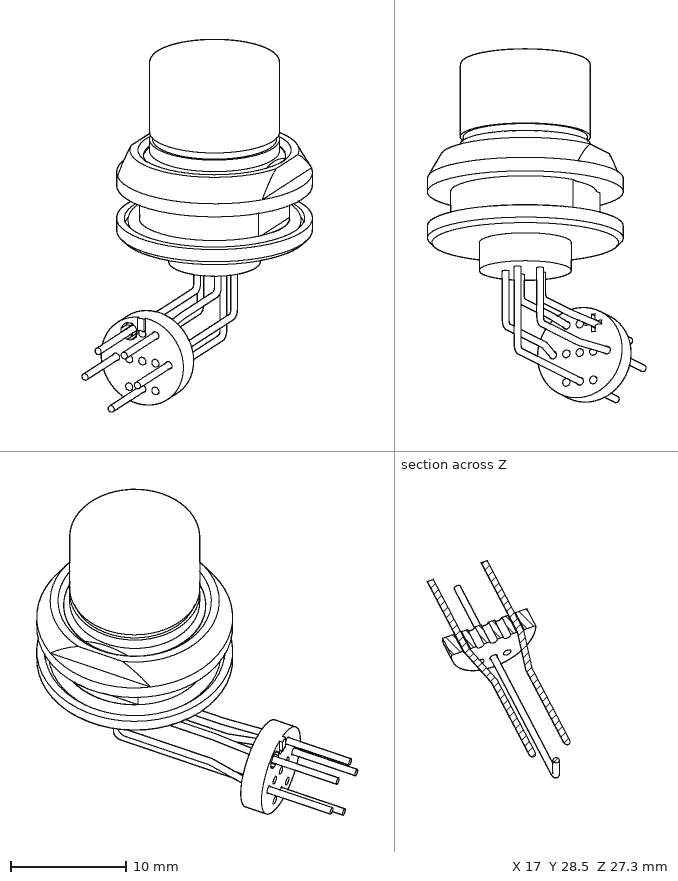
import cadquery as cq
import math


overall_length = 28.5
flange_radius = 8.5
flange_thickness = 1.5
flange_chamfer = 0.4
rear_radius = 4.0
rear_bottom = -4.0
thread_radius = 6.5
flat_offset = 5.75
neck_radius = 6.15
plug_radius = 5.65
plug_top = 14.5
plug_fillet = 0.3
snap_groove_radius = 5.4
snap_groove_bottom = 7.2
snap_groove_top = 7.87
lead_in_top = 6.15

ring_section_diameter = 1.0
ring_section_radius = ring_section_diameter / 2
ring_groove_depth = 0.7
ring_groove_outer_radius = 7.8
ring_center_radius = thread_radius + ring_section_radius

nut_bottom = 3.0
nut_collar_top = 4.2
nut_top = 6.2
nut_top_radius = 7.32
nut_flat_offset = 7.0
nut_countersink_radius = 6.65

pin_diameter = 0.6
pin_circle_radius = 1.7
pin_count = 5
pin_bend_radius = 0.5
pin_kink_y = -8.05
pin_tip_y = flange_radius - overall_length

disc_radius = 4.0
disc_thickness = 2.0
disc_back_y = -12.0
disc_front_y = disc_back_y - disc_thickness
disc_center_z = -8.84
pitch = 2.55
half_pitch = pitch / 2
hole_diameter = 0.68
key_width = 0.65
key_height = 0.28
key_gap = 0.25
recess_radius = 0.77
recess_depth = disc_thickness / 2
slot_width = 0.35

pin_holes = [
    (0, disc_center_z - pitch),
    (-pitch, disc_center_z),
    (-half_pitch, disc_center_z + pitch),
    (half_pitch, disc_center_z + pitch),
    (pitch, disc_center_z),
]
spare_holes = [
    (0, disc_center_z + pitch),
    (-half_pitch, disc_center_z),
    (0, disc_center_z),
    (half_pitch, disc_center_z),
    (-half_pitch, disc_center_z - pitch),
    (half_pitch, disc_center_z - pitch),
]
marked_hole = pin_holes[2]


def cylinder(radius, bottom, top):
    return cq.Workplane("XY").workplane(offset=bottom).circle(radius).extrude(top - bottom)


def between_flats(offset, bottom, top):
    """A block that reaches from -offset to +offset in X and past the part in Y."""
    block = cq.Workplane("XY").workplane(offset=bottom)
    return block.rect(2 * offset, 3 * flange_radius).extrude(top - bottom)


def disc_cylinder(x, z, radius, front_y, depth):
    """A cylinder along Y, from front_y towards +Y."""
    plane = cq.Plane(origin=(x, front_y, z), xDir=(1, 0, 0), normal=(0, 1, 0))
    return cq.Workplane(plane).circle(radius).extrude(depth)


def make_pin(angle, hole):
    """A pin that leaves the shell downwards, turns to -Y and spreads to its disc hole."""
    x = pin_circle_radius * math.cos(angle)
    y = pin_circle_radius * math.sin(angle)
    hole_x, z = hole
    bend_y = y - pin_bend_radius
    bend_z = z + pin_bend_radius
    arc_offset = pin_bend_radius * math.sqrt(0.5)

    bend_start = cq.Vector(x, y, bend_z)
    bend_middle = cq.Vector(x, bend_y + arc_offset, bend_z - arc_offset)
    bend_end = cq.Vector(x, bend_y, z)
    kink = cq.Vector(x, pin_kink_y, z)
    disc_entry = cq.Vector(hole_x, disc_back_y, z)
    tip = cq.Vector(hole_x, pin_tip_y, z)
    path = cq.Wire.assembleEdges([
        cq.Edge.makeLine(cq.Vector(x, y, rear_bottom), bend_start),
        cq.Edge.makeThreePointArc(bend_start, bend_middle, bend_end),
        cq.Edge.makeLine(bend_end, kink),
        cq.Edge.makeLine(kink, disc_entry),
        cq.Edge.makeLine(disc_entry, tip),
    ])
    section = cq.Workplane("XY", origin=(x, y, rear_bottom)).circle(pin_diameter / 2)
    return section.sweep(path, transition="right")


def make_shell():
    flange = cylinder(flange_radius, -flange_thickness, 0).faces("<Z").chamfer(flange_chamfer)
    ring_groove = cylinder(ring_groove_outer_radius, -ring_groove_depth, 0).cut(
        cylinder(thread_radius, -ring_groove_depth, 0)
    )
    threaded_profile = [
        (0, 0),
        (thread_radius, 0),
        (thread_radius, nut_bottom),
        (neck_radius, nut_bottom),
        (neck_radius, lead_in_top - (neck_radius - plug_radius)),
        (plug_radius, lead_in_top),
        (0, lead_in_top),
    ]
    threaded_section = cq.Workplane("XZ").polyline(threaded_profile).close().revolve()
    flats = between_flats(flat_offset, 0, lead_in_top)
    plug = cylinder(plug_radius, 0, plug_top).faces(">Z").edges().fillet(plug_fillet)
    snap_groove = cylinder(flange_radius, snap_groove_bottom, snap_groove_top).cut(
        cylinder(snap_groove_radius, snap_groove_bottom, snap_groove_top)
    )
    rear = cylinder(rear_radius, rear_bottom, -flange_thickness)

    shell = threaded_section.intersect(flats)
    shell = shell.union(plug.cut(snap_groove)).union(flange.cut(ring_groove)).union(rear)
    for index, hole in enumerate(pin_holes):
        angle = math.radians(90 + index * 360 / pin_count)
        shell = shell.union(make_pin(angle, hole))
    return shell


def make_ring():
    ring_center_z = ring_section_radius - ring_groove_depth
    return (
        cq.Workplane("XZ")
        .center(ring_center_radius, ring_center_z)
        .circle(ring_section_radius)
        .revolve(360, (-ring_center_radius, 0, 0), (-ring_center_radius, 1, 0))
    )


def make_nut():
    countersink = nut_countersink_radius - neck_radius
    profile = [
        (neck_radius, nut_bottom),
        (flange_radius, nut_bottom),
        (flange_radius, nut_collar_top),
        (nut_top_radius, nut_top),
        (nut_countersink_radius, nut_top),
        (neck_radius, nut_top - countersink),
    ]
    nut = cq.Workplane("XZ").polyline(profile).close().revolve()
    outside_flats = cylinder(flange_radius, nut_collar_top, nut_top).cut(
        between_flats(nut_flat_offset, nut_collar_top, nut_top)
    )
    return nut.cut(outside_flats)


def make_key():
    """A raised strip on the front of the disc, from the top middle hole to the rim."""
    bottom = disc_center_z + pitch + key_gap
    top = disc_center_z + disc_radius
    strip = cq.Workplane("XY").box(
        key_width, key_height, top - bottom, centered=(True, False, False)
    ).translate((0, disc_front_y - key_height, bottom))
    return strip.intersect(
        disc_cylinder(0, disc_center_z, disc_radius, disc_front_y - key_height, key_height)
    )


def make_cross(x, z):
    """A round recess with a cross of slots through the disc."""
    middle_y = disc_front_y + disc_thickness / 2
    slot_length = 2 * recess_radius
    recess = disc_cylinder(x, z, recess_radius, disc_front_y, recess_depth)
    level_slot = cq.Workplane("XY").box(slot_length, disc_thickness, slot_width)
    upright_slot = cq.Workplane("XY").box(slot_width, disc_thickness, slot_length)
    slots = level_slot.union(upright_slot).translate((x, middle_y, z))
    return recess.union(slots)


def make_disc():
    disc = disc_cylinder(0, disc_center_z, disc_radius, disc_front_y, disc_thickness)
    disc = disc.union(make_key())
    for x, z in pin_holes + spare_holes:
        hole = disc_cylinder(
            x, z, hole_diameter / 2, disc_front_y - key_height, disc_thickness + key_height
        )
        disc = disc.cut(hole)
    return disc.cut(make_cross(*marked_hole))


shell = make_shell()
ring = make_ring()
nut = make_nut()
disc = make_disc()

bodies = [shell, ring, nut, disc]
result = cq.Compound.makeCompound([body.solids().val() for body in bodies])